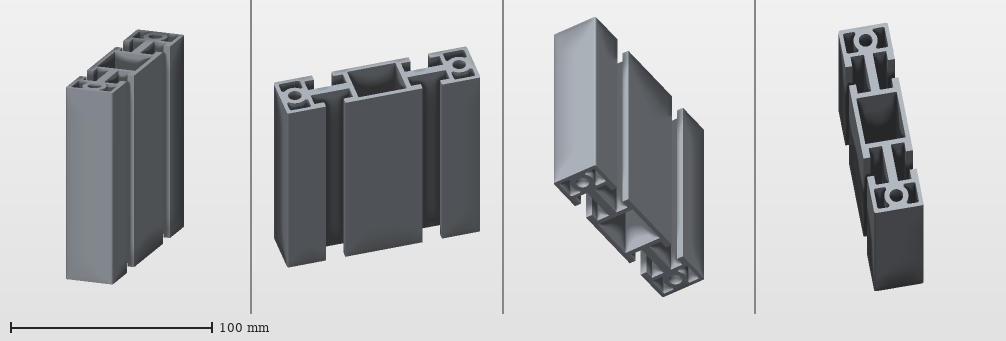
import cadquery as cq

width = 25.0
depth = 100.0
length = 100.0
corner_radius = 1.0

slot_center_y = depth / 4
slot_mouth = 10.0
slot_inner = 20.0
lip_thickness = 3.5
web_thickness = 4.4

cavity_width = 20.4
cavity_depth = 25.0

end_wall = 2.0
bore_diameter = 6.8
boss_diameter = 12.0
pocket_radius = 1.0
pocket_outer_y = depth / 2 - end_wall
pocket_inner_y = slot_center_y + slot_inner / 2 + end_wall
boss_y = (pocket_outer_y + pocket_inner_y) / 2


def prism(size_x, size_y, x=0, y=0):
    """Rectangular bar running the full length, centred on (x, y)."""
    return cq.Workplane("XY").center(x, y).rect(size_x, size_y).extrude(length)


def round_bar(diameter, y):
    """Cylinder running the full length on the middle plane."""
    return cq.Workplane("XY").center(0, y).circle(diameter / 2).extrude(length)


def t_slot(x_sign, y_sign):
    """Slot open at the side face, widening behind the lips down to the web."""
    y = y_sign * slot_center_y
    side = width / 2
    lip_inside = side - lip_thickness
    web_side = web_thickness / 2
    mouth = prism(side - web_side, slot_mouth, x_sign * (side + web_side) / 2, y)
    chamber = prism(lip_inside - web_side, slot_inner, x_sign * (lip_inside + web_side) / 2, y)
    return mouth.union(chamber)


def end_pockets(y_sign):
    """Two rounded pockets separated by the boss."""
    y = y_sign * boss_y
    chamber = prism(width - 2 * end_wall, pocket_outer_y - pocket_inner_y, 0, y)
    pockets = chamber.cut(round_bar(boss_diameter, y))
    return pockets.edges("|Z").fillet(pocket_radius)


result = prism(width, depth).edges("|Z").fillet(corner_radius)
result = result.cut(prism(cavity_width, cavity_depth))
for y_sign in (-1, 1):
    result = result.cut(end_pockets(y_sign))
    result = result.cut(round_bar(bore_diameter, y_sign * boss_y))
    for x_sign in (-1, 1):
        result = result.cut(t_slot(x_sign, y_sign))